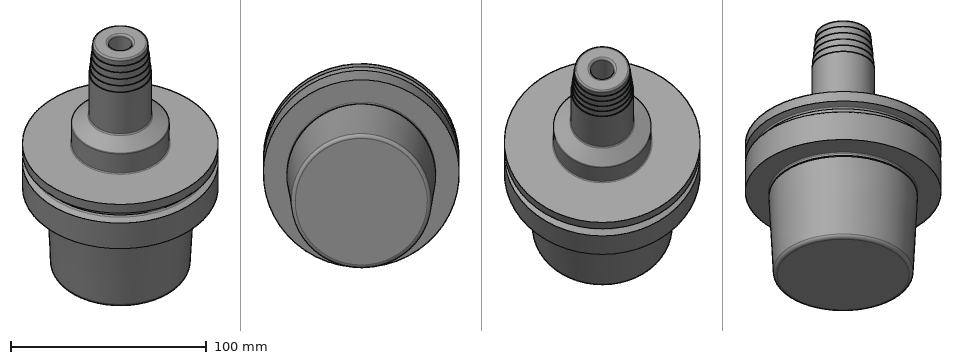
import cadquery as cq
import math


nose_z = 95.0
sleeve_radius = 16.0
ring_count = 5
ring_pitch = 4.0
ring_step = 0.38
nose_fillet = 1.0

collar_radius = 25.0
shoulder_z = 47.4
shoulder_angle = 30.0
shoulder_fillet = 1.0
collar_edge_fillet = 0.5
collar_root_fillet = 0.5

flange_radius = 50.0
flange_z = 29.0
groove_z = 20.0
groove_floor_radius = 46.0
groove_half_mouth = 3.25
groove_wall_angle = 20.0
groove_floor_fillet = 1.0

shank_length = 49.94
taper_slope = 0.05
taper_gauge_radius = 37.5
taper_gauge_depth = 12.5
relief_radius = 37.6
relief_depth = 1.7
taper_start_depth = 2.6
shank_root_fillet = 0.5
shank_end_fillet = 2.0

bore_radius = 6.0
bore_depth = nose_z - shoulder_z
bore_mouth_fillet = 1.25


def tan_deg(angle):
    return math.tan(math.radians(angle))


def taper_radius(depth):
    """Shank radius at a depth below the seat."""
    return taper_gauge_radius + taper_slope * (taper_gauge_depth - depth)


def revolve_outline(outline):
    """Turn a closed (radius, height) outline about Z."""
    return outline.close().revolve(360, (0, 0, 0), (0, 1, 0))


def circles_at(body, radius, z):
    """Circular edges of the given radius centred on Z at height z."""
    tolerance = 0.001

    def matches(edge):
        box = edge.BoundingBox()
        right_height = abs(box.zmin - z) < tolerance and abs(box.zmax - z) < tolerance
        return edge.geomType() == "CIRCLE" and right_height and abs(edge.radius() - radius) < tolerance

    return body.newObject([edge for edge in body.edges().vals() if matches(edge)])


def round_edge(body, radius, z, fillet):
    return circles_at(body, radius, z).fillet(fillet)


def make_shank():
    tip_radius = taper_radius(shank_length)
    outline = (
        cq.Workplane("XZ")
        .moveTo(0, 0)
        .lineTo(0, -shank_length)
        .lineTo(tip_radius, -shank_length)
        .lineTo(taper_radius(taper_start_depth), -taper_start_depth)
        .lineTo(relief_radius, -relief_depth)
        .lineTo(relief_radius, 0)
    )
    return round_edge(revolve_outline(outline), tip_radius, -shank_length, shank_end_fillet)


def make_flange():
    return cq.Workplane("XY").circle(flange_radius).extrude(flange_z)


def make_gripper_groove():
    """Ring to cut: slanted walls running into a floor with rounded corners."""
    depth = flange_radius - groove_floor_radius
    half_floor = groove_half_mouth - depth * tan_deg(groove_wall_angle)
    outline = (
        cq.Workplane("XZ")
        .moveTo(groove_floor_radius, groove_z - half_floor)
        .lineTo(flange_radius, groove_z - groove_half_mouth)
        .lineTo(flange_radius, groove_z + groove_half_mouth)
        .lineTo(groove_floor_radius, groove_z + half_floor)
    )
    groove = revolve_outline(outline)
    for side in (-1, 1):
        groove = round_edge(groove, groove_floor_radius, groove_z + side * half_floor, groove_floor_fillet)
    return groove


def make_nose():
    """Collar, conical shoulder, sleeve and a tip that narrows in cylindrical steps."""
    collar_z = shoulder_z - (collar_radius - sleeve_radius) * tan_deg(shoulder_angle)
    tip_base_z = nose_z - ring_count * ring_pitch
    outline = (
        cq.Workplane("XZ")
        .moveTo(0, flange_z)
        .lineTo(collar_radius, flange_z)
        .lineTo(collar_radius, collar_z)
        .lineTo(sleeve_radius, shoulder_z)
        .lineTo(sleeve_radius, tip_base_z)
    )
    for ring in range(1, ring_count + 1):
        ring_radius = sleeve_radius - ring * ring_step
        outline = outline.lineTo(ring_radius, tip_base_z + (ring - 1) * ring_pitch)
        outline = outline.lineTo(ring_radius, tip_base_z + ring * ring_pitch)
    nose = revolve_outline(outline.lineTo(0, nose_z))
    nose = round_edge(nose, collar_radius, collar_z, collar_edge_fillet)
    nose = round_edge(nose, sleeve_radius, shoulder_z, shoulder_fillet)
    return round_edge(nose, sleeve_radius - ring_count * ring_step, nose_z, nose_fillet)


def cut_bore(body):
    bore = cq.Workplane("XY").workplane(offset=nose_z - bore_depth).circle(bore_radius).extrude(bore_depth)
    return round_edge(body.cut(bore), bore_radius, nose_z, bore_mouth_fillet)


body = make_shank().union(make_flange()).union(make_nose())
body = round_edge(body, collar_radius, flange_z, collar_root_fillet)
body = round_edge(body, relief_radius, 0, shank_root_fillet)
body = body.cut(make_gripper_groove())
result = cut_bore(body)